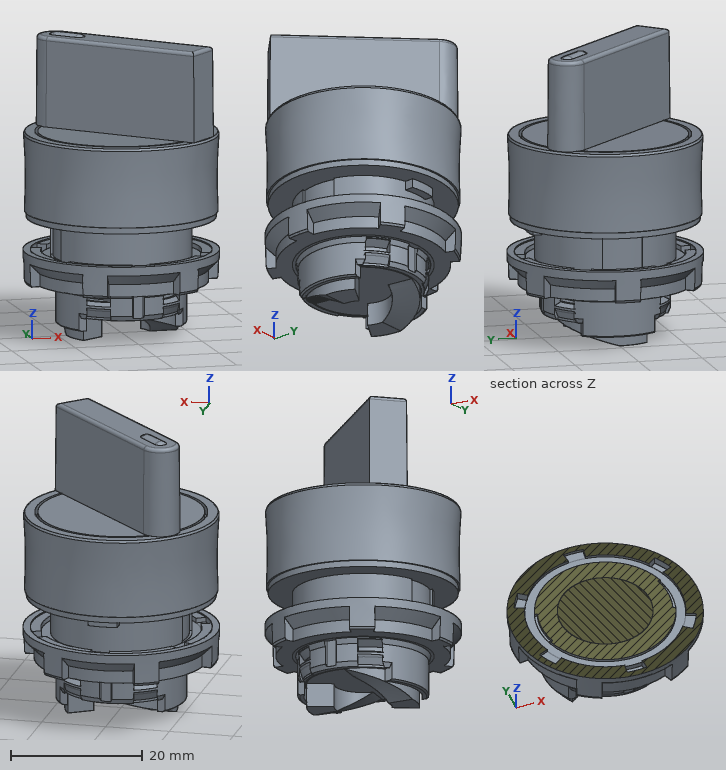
import cadquery as cq
import math

SKIRT_BOTTOM = 1.65
SLEEVE_BOTTOM = 3.65
CAM_TOP = 6.4
NUT_BOTTOM = 8.05
NUT_TOP = 13.0
BEZEL_BOTTOM = 18.05
BEZEL_STEP = 19.0
BEZEL_TOP = 31.3
GRIP_TOP = 45.25
POINTER_TOP = 45.6

BEZEL_RADIUS = 14.9
BEZEL_WAIST_RADIUS = 14.65
BEZEL_LOWER_RADIUS = 14.77
BEZEL_STEP_RADIUS = 14.5
BEZEL_CHAMFER_WIDTH = 0.2
BEZEL_CHAMFER_HEIGHT = 0.35
RECESS_RADIUS = 13.2
RECESS_DEPTH = 1.35
STEM_RADIUS = 7.25
NECK_RADIUS = 10.8
KEYWAY_RADIUS = 10.4
KEYWAY_HALF_WIDTH = 3.15
TAB_RADIUS = 12.2
TAB_BOTTOM = 16.6
TAB_HALF_WIDTH = 2.3

SLEEVE_RADIUS = 10.0
SLEEVE_BORE_RADIUS = 8.85
SLEEVE_COLLAR_RADIUS = 10.3
COLLAR_BOTTOM = 7.2
SLEEVE_CHAMFER = 0.3
SLEEVE_CHAMFER_HEIGHT = 0.78
SKIRT_CHAMFER_HEIGHT = 0.25
SKIRT_HALF_WIDTH = 5.65
SKIRT_BORE_RADIUS = 9.05
OPENING_START = 34.0
OPENING_END = 65.2
OPENING_REACH = 7.3
WINDOW_BOTTOM = 5.85
WINDOW_INNER_BOTTOM = 6.3
WINDOW_INNER_TOP = 6.98
WINDOW_TOP = 7.9
NOTCH_TOP = 5.45
NOTCH_LIP = 5.1
NOTCH_LIP_RADIUS = 9.8
NOTCH_FLOOR_END = 4.0
NOTCH_FLOOR_RADIUS = 9.3
KEY_SLOT_HALF_WIDTH = 1.0
KEY_SLOT_FLOOR_HALF_WIDTH = 0.78
KEY_SLOT_DEPTH = 0.2

DISC_RADIUS = 12.7
GRIP_TURN = 135.0
GRIP_END = 14.45
GRIP_HALF_WIDTH = 3.0
GRIP_DRAFT = 0.4
GRIP_FILLET = 0.6
POINTER_OUTER_END = 11.45
POINTER_INNER_END = 7.5
POINTER_HALF_WIDTH = 0.95
CAM_RADIUS = 8.6
CAM_BORE_RADIUS = 4.42
CAM_FOOT_ANGLE = 33.0
CAM_RAMP_ANGLE = 80.0

NUT_RADIUS = 15.0
NUT_LUG_RADIUS = 14.85
NUT_CHAMFER_WIDTH = 0.2
NUT_CHAMFER_HEIGHT = 0.35
NUT_ROOT_RADIUS = 13.3
FLANGE_BOTTOM = 11.55
LUG_COUNT = 6
FIRST_LUG_ANGLE = -1.0
LUG_SPAN = 15.0
NUT_RIM_RADIUS = 13.85
NUT_LEDGE_RADIUS = 12.25
NUT_LEDGE_TOP = 12.8
NUT_FLOOR = 12.1
LEDGE_GAP_SPAN = 13.0
DEEP_GAP_FLOOR = 11.35

CLEAR = 1.35


def cylinder(radius, bottom, top):
    return cq.Workplane("XY").workplane(offset=bottom).circle(radius).extrude(top - bottom)


def ring(outer, inner, bottom, top):
    return cq.Workplane("XY").workplane(offset=bottom).circle(outer).circle(inner).extrude(top - bottom)


def block(x0, x1, y0, y1, z0, z1):
    return cq.Workplane("XY").box(x1 - x0, y1 - y0, z1 - z0, centered=False).translate((x0, y0, z0))


def sector_of(points, middle_angle, span):
    """Profile of (radius, z) points revolved through `span` degrees about Z."""
    turned = cq.Workplane("XZ").polyline(points).close().revolve(span, (0, 0, 0), (0, 1, 0))
    return turned.rotate((0, 0, 0), (0, 0, 1), middle_angle - span / 2)


def revolved(points):
    return cq.Workplane("XZ").polyline(points).close().revolve(360, (0, 0, 0), (0, 1, 0))


def sector_ring(outer, inner, bottom, top, middle_angle, span):
    return sector_of([(inner, bottom), (outer, bottom), (outer, top), (inner, top)], middle_angle, span)


def make_bezel():
    shoulder = BEZEL_TOP - BEZEL_CHAMFER_HEIGHT
    profile = (
        cq.Workplane("XZ")
        .moveTo(0, BEZEL_BOTTOM)
        .lineTo(BEZEL_STEP_RADIUS, BEZEL_BOTTOM)
        .lineTo(BEZEL_STEP_RADIUS, BEZEL_STEP)
        .lineTo(BEZEL_LOWER_RADIUS, BEZEL_STEP)
        .threePointArc((BEZEL_WAIST_RADIUS, (BEZEL_STEP + shoulder) / 2), (BEZEL_RADIUS, shoulder))
        .lineTo(BEZEL_RADIUS - BEZEL_CHAMFER_WIDTH, BEZEL_TOP)
        .lineTo(0, BEZEL_TOP)
        .close()
    )
    return profile.revolve(360, (0, 0, 0), (0, 1, 0))


def make_neck():
    neck = cylinder(NECK_RADIUS, NUT_BOTTOM, BEZEL_BOTTOM)
    keyways = ring(NECK_RADIUS + CLEAR, KEYWAY_RADIUS, NUT_FLOOR, BEZEL_BOTTOM).intersect(
        block(-NUT_RADIUS, NUT_RADIUS, -KEYWAY_HALF_WIDTH, KEYWAY_HALF_WIDTH, NUT_FLOOR, BEZEL_BOTTOM)
    )
    tab = cylinder(TAB_RADIUS, TAB_BOTTOM, BEZEL_BOTTOM).intersect(
        block(-TAB_HALF_WIDTH, TAB_HALF_WIDTH, 0, NUT_RADIUS, TAB_BOTTOM, BEZEL_BOTTOM)
    )
    return neck.cut(keyways).union(tab)


def make_sleeve():
    foot_radius = SLEEVE_RADIUS - SLEEVE_CHAMFER
    wall = revolved([
        (0, SLEEVE_BOTTOM),
        (foot_radius, SLEEVE_BOTTOM),
        (SLEEVE_RADIUS, SLEEVE_BOTTOM + SLEEVE_CHAMFER_HEIGHT),
        (SLEEVE_RADIUS, COLLAR_BOTTOM),
        (SLEEVE_COLLAR_RADIUS, NUT_BOTTOM),
        (0, NUT_BOTTOM),
    ])
    skirt_top = SLEEVE_BOTTOM + SLEEVE_CHAMFER_HEIGHT
    skirt = revolved([
        (0, SKIRT_BOTTOM),
        (foot_radius, SKIRT_BOTTOM),
        (SLEEVE_RADIUS, SKIRT_BOTTOM + SKIRT_CHAMFER_HEIGHT),
        (SLEEVE_RADIUS, skirt_top),
        (0, skirt_top),
    ]).intersect(
        block(-NUT_RADIUS, NUT_RADIUS, -SKIRT_HALF_WIDTH, SKIRT_HALF_WIDTH, SKIRT_BOTTOM, skirt_top)
    )
    sleeve = wall.union(skirt)
    sleeve = sleeve.cut(cylinder(SLEEVE_BORE_RADIUS, 0, NUT_BOTTOM))
    sleeve = sleeve.cut(cylinder(SKIRT_BORE_RADIUS, 0, SLEEVE_BOTTOM))
    outside = SLEEVE_COLLAR_RADIUS + CLEAR
    window = [
        (SLEEVE_BORE_RADIUS - 0.45, WINDOW_INNER_BOTTOM),
        (SLEEVE_BORE_RADIUS, WINDOW_INNER_BOTTOM),
        (SLEEVE_RADIUS, WINDOW_BOTTOM),
        (outside, WINDOW_BOTTOM),
        (outside, WINDOW_TOP),
        (SLEEVE_RADIUS, WINDOW_TOP),
        (SLEEVE_BORE_RADIUS, WINDOW_INNER_TOP),
        (SLEEVE_BORE_RADIUS - 0.45, WINDOW_INNER_TOP),
    ]
    notch = [
        (NOTCH_FLOOR_RADIUS, SLEEVE_BOTTOM - CLEAR),
        (outside, SLEEVE_BOTTOM - CLEAR),
        (outside, NOTCH_TOP),
        (SLEEVE_RADIUS, NOTCH_TOP),
        (NOTCH_LIP_RADIUS, NOTCH_LIP),
        (NOTCH_FLOOR_RADIUS, NOTCH_FLOOR_END),
    ]
    middle = (OPENING_START + OPENING_END) / 2
    limits = block(-OPENING_REACH, OPENING_REACH, -NUT_RADIUS, NUT_RADIUS, 0, NUT_BOTTOM)
    for angle in (middle, 180 - middle, 180 + middle, -middle):
        for opening in (window, notch):
            cutter = sector_of(opening, angle, OPENING_END - OPENING_START)
            sleeve = sleeve.cut(cutter.intersect(limits))
    key_slot = (
        cq.Workplane("XY")
        .polyline([
            (-KEY_SLOT_FLOOR_HALF_WIDTH, SLEEVE_RADIUS - KEY_SLOT_DEPTH),
            (KEY_SLOT_FLOOR_HALF_WIDTH, SLEEVE_RADIUS - KEY_SLOT_DEPTH),
            (KEY_SLOT_HALF_WIDTH, SLEEVE_RADIUS),
            (KEY_SLOT_HALF_WIDTH, outside),
            (-KEY_SLOT_HALF_WIDTH, outside),
            (-KEY_SLOT_HALF_WIDTH, SLEEVE_RADIUS),
        ])
        .close()
        .extrude(NUT_BOTTOM)
    )
    for turn in (0, 180):
        sleeve = sleeve.cut(key_slot.rotate((0, 0, 0), (0, 0, 1), turn))
    return sleeve


def make_housing():
    recess = cylinder(RECESS_RADIUS, BEZEL_TOP - RECESS_DEPTH, BEZEL_TOP)
    stem_bore = cylinder(STEM_RADIUS, NUT_BOTTOM, BEZEL_TOP)
    return make_bezel().union(make_neck()).union(make_sleeve()).cut(recess).cut(stem_bore)


def make_grip():
    """Drafted grip along +X, with a round end at the pointer and a square end opposite."""
    arc_centre = GRIP_END - GRIP_HALF_WIDTH
    grip = (
        cq.Workplane("XY")
        .workplane(offset=BEZEL_TOP)
        .moveTo(-GRIP_END, -GRIP_HALF_WIDTH)
        .lineTo(arc_centre, -GRIP_HALF_WIDTH)
        .threePointArc((GRIP_END, 0), (arc_centre, GRIP_HALF_WIDTH))
        .lineTo(-GRIP_END, GRIP_HALF_WIDTH)
        .close()
        .extrude(GRIP_TOP - BEZEL_TOP, taper=GRIP_DRAFT)
        .faces(">Z")
        .edges()
        .fillet(GRIP_FILLET)
    )
    return grip.union(make_pointer()).rotate((0, 0, 0), (0, 0, 1), GRIP_TURN)


def make_pointer():
    """Low domed ridge along +X on top of the grip, part of a round bar with ball ends."""
    height = POINTER_TOP - GRIP_TOP
    bar_radius = (POINTER_HALF_WIDTH**2 + height**2) / (2 * height)
    axis_height = POINTER_TOP - bar_radius
    bar = (
        cq.Workplane("YZ")
        .workplane(offset=POINTER_INNER_END)
        .center(0, axis_height)
        .circle(bar_radius)
        .extrude(POINTER_OUTER_END - POINTER_INNER_END)
    )
    for end in (POINTER_INNER_END, POINTER_OUTER_END):
        bar = bar.union(cq.Workplane("XY").sphere(bar_radius).translate((end, 0, axis_height)))
    above_grip = block(0, GRIP_END, -GRIP_HALF_WIDTH, GRIP_HALF_WIDTH, GRIP_TOP, POINTER_TOP)
    return bar.intersect(above_grip)


def make_cam_foot():
    """Foot on the +X side: a plain sector toward +Y and a helical ramp toward -Y."""
    foot_ring = ring(CAM_RADIUS, CAM_BORE_RADIUS, 0, SLEEVE_BOTTOM)
    plain = sector_ring(CAM_RADIUS, CAM_BORE_RADIUS, 0, SLEEVE_BOTTOM, CAM_FOOT_ANGLE / 2, CAM_FOOT_ANGLE)
    inside = CAM_BORE_RADIUS / 2
    outside = CAM_RADIUS + CLEAR
    start = math.radians(CAM_RAMP_ANGLE)
    wedge = (
        cq.Workplane("XY")
        .moveTo(inside, 0)
        .lineTo(outside, 0)
        .threePointArc(
            (outside * math.cos(start / 2), outside * math.sin(start / 2)),
            (outside * math.cos(start), outside * math.sin(start)),
        )
        .lineTo(inside * math.cos(start), inside * math.sin(start))
        .close()
        .twistExtrude(SLEEVE_BOTTOM, -CAM_RAMP_ANGLE)
    )
    ramp_side = block(0, NUT_RADIUS, -NUT_RADIUS, 0, 0, SLEEVE_BOTTOM)
    ramp = foot_ring.intersect(wedge).intersect(ramp_side)
    return plain.union(ramp)


def make_cam():
    cam = cylinder(CAM_RADIUS, SLEEVE_BOTTOM, CAM_TOP)
    foot = make_cam_foot()
    for turn in (0, 180):
        cam = cam.union(foot.rotate((0, 0, 0), (0, 0, 1), turn), clean=False)
    return cam


def make_knob():
    disc_bottom = BEZEL_TOP - RECESS_DEPTH
    disc = cylinder(DISC_RADIUS, disc_bottom, BEZEL_TOP)
    stem = cylinder(STEM_RADIUS, CAM_TOP, disc_bottom)
    handle = stem.union(disc).union(make_grip())
    return make_cam().union(handle, clean=False)


def make_nut():
    nut = revolved([
        (NECK_RADIUS, NUT_BOTTOM),
        (NUT_LUG_RADIUS - NUT_CHAMFER_WIDTH, NUT_BOTTOM),
        (NUT_LUG_RADIUS, NUT_BOTTOM + NUT_CHAMFER_HEIGHT),
        (NUT_RADIUS, NUT_TOP),
        (NUT_RIM_RADIUS, NUT_TOP),
        (NUT_RIM_RADIUS, NUT_LEDGE_TOP),
        (NUT_LEDGE_RADIUS, NUT_LEDGE_TOP),
        (NUT_LEDGE_RADIUS, NUT_FLOOR),
        (NECK_RADIUS, NUT_FLOOR),
    ])
    pitch = 360 / LUG_COUNT
    outside = NUT_RADIUS + CLEAR
    lug_space = [
        (NUT_ROOT_RADIUS, NUT_BOTTOM - CLEAR),
        (outside, NUT_BOTTOM - CLEAR),
        (outside, FLANGE_BOTTOM + (outside - NUT_LUG_RADIUS)),
        (NUT_ROOT_RADIUS, FLANGE_BOTTOM - (NUT_LUG_RADIUS - NUT_ROOT_RADIUS)),
    ]
    for index in range(LUG_COUNT):
        middle = FIRST_LUG_ANGLE + (index + 0.5) * pitch
        gap_floor = DEEP_GAP_FLOOR if index % 2 == 0 else NUT_FLOOR
        space = sector_of(lug_space, middle, pitch - LUG_SPAN)
        gap = sector_ring(NUT_RIM_RADIUS, NUT_LEDGE_RADIUS, gap_floor, NUT_TOP, middle, LEDGE_GAP_SPAN)
        nut = nut.cut(space, clean=False).cut(gap, clean=False)
    return nut


housing = make_housing()
knob = make_knob()
nut = make_nut()

result = cq.Compound.makeCompound([housing.solids().val(), knob.solids().val(), nut.solids().val()])